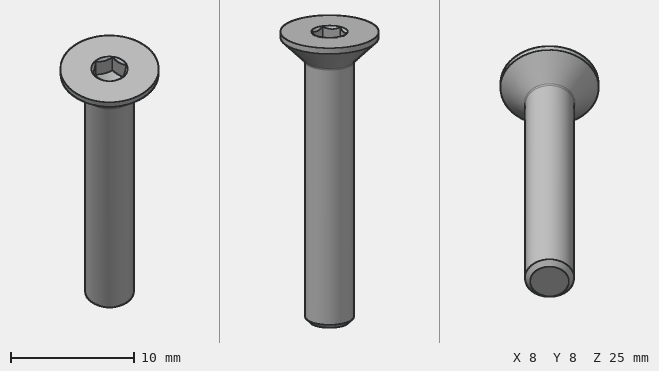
import cadquery as cq
import math

total_length = 25.0
head_diameter = 8.0
shank_diameter = 4.0

rim_height = 0.5
cone_angle = 90.0
neck_fillet = 0.2
tip_chamfer = 0.42

socket_across_flats = 2.5
socket_depth = 1.5
lead_in_diameter = 2.95
lead_in_angle = 90.0
socket_floor_angle = 120.0
socket_floor_tip_diameter = 0.4

head_radius = head_diameter / 2
shank_radius = shank_diameter / 2
socket_corner_radius = socket_across_flats / 2 / math.cos(math.pi / 6)


def cone_height(large_radius, small_radius, full_angle):
    """Axial length of a truncated cone with the given included angle."""
    return (large_radius - small_radius) / math.tan(math.radians(full_angle / 2))


def frustum(top_z, top_radius, bottom_radius, full_angle):
    """Truncated cone narrowing downwards from top_z."""
    bottom_z = top_z - cone_height(top_radius, bottom_radius, full_angle)
    profile = (
        cq.Workplane("XZ")
        .moveTo(0, top_z)
        .lineTo(top_radius, top_z)
        .lineTo(bottom_radius, bottom_z)
        .lineTo(0, bottom_z)
        .close()
    )
    return profile.revolve(360, (0, 0, 0), (0, 1, 0))


def make_body():
    """Turned blank: chamfered shank, countersunk head and cylindrical rim."""
    rim_bottom = total_length - rim_height
    neck_z = rim_bottom - cone_height(head_radius, shank_radius, cone_angle)
    profile = (
        cq.Workplane("XZ")
        .lineTo(shank_radius - tip_chamfer, 0)
        .lineTo(shank_radius, tip_chamfer)
        .lineTo(shank_radius, neck_z)
        .lineTo(head_radius, rim_bottom)
        .lineTo(head_radius, total_length)
        .lineTo(0, total_length)
        .close()
    )
    body = profile.revolve(360, (0, 0, 0), (0, 1, 0))
    neck_edge = cq.selectors.BoxSelector(
        (-head_radius, -head_radius, neck_z - neck_fillet),
        (head_radius, head_radius, neck_z + neck_fillet),
        boundingbox=True,
    )
    return body.edges(neck_edge).fillet(neck_fillet)


def make_socket():
    """Hexagon recess, corners along X, with a lead-in cone and a conical floor."""
    floor_z = total_length - socket_depth
    floor_tip_radius = socket_floor_tip_diameter / 2
    floor_height = cone_height(socket_corner_radius, floor_tip_radius, socket_floor_angle)
    hexagon = (
        cq.Workplane("XY", origin=(0, 0, floor_z - floor_height))
        .polygon(6, 2 * socket_corner_radius)
        .extrude(socket_depth + floor_height)
    )
    floor = frustum(floor_z, socket_corner_radius, floor_tip_radius, socket_floor_angle)
    straight_bore = (
        cq.Workplane("XY", origin=(0, 0, floor_z))
        .circle(socket_corner_radius)
        .extrude(socket_depth)
    )
    recess = hexagon.intersect(floor.union(straight_bore))
    lead_in = frustum(total_length, lead_in_diameter / 2, socket_across_flats / 2, lead_in_angle)
    return recess.union(lead_in)


result = make_body().cut(make_socket())